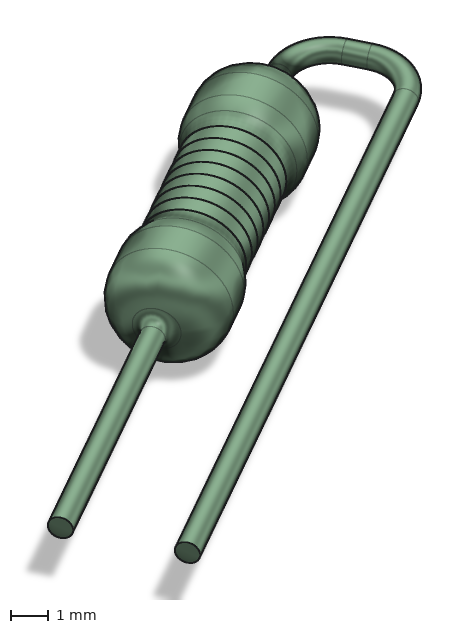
import cadquery as cq
import math


LEAD_DIAMETER = 0.7
LEAD_PITCH = 3.5
BEND_RADIUS = 1.4
OVERALL_LENGTH = 21.35
REAR_REACH = 7.74

CAP_DIAMETER = 3.5
BAND_DIAMETER = 3.0
GAP_DIAMETER = 2.98
BAND_WIDTH = 0.515
WAIST_SEGMENTS = 7
CAP_LENGTH = 0.97
DOME_RADIUS = 1.2
COLLAR_RADIUS = 0.36

LEAD_RADIUS = LEAD_DIAMETER / 2
CAP_RADIUS = CAP_DIAMETER / 2
BAND_RADIUS = BAND_DIAMETER / 2
GAP_RADIUS = GAP_DIAMETER / 2
SHOULDER_LENGTH = 2 * BAND_WIDTH
WAIST_HALF = WAIST_SEGMENTS * BAND_WIDTH / 2
SHOULDER_END = WAIST_HALF + SHOULDER_LENGTH
CAP_END = SHOULDER_END + CAP_LENGTH
DOME_CENTRE_RADIUS = CAP_RADIUS - DOME_RADIUS
COLLAR_CENTRE_RADIUS = LEAD_RADIUS + COLLAR_RADIUS
DOME_ANGLE = math.acos((COLLAR_CENTRE_RADIUS - DOME_CENTRE_RADIUS) / (DOME_RADIUS + COLLAR_RADIUS))
COLLAR_END = CAP_END + (DOME_RADIUS + COLLAR_RADIUS) * math.sin(DOME_ANGLE)
FOLD_AXIS_Y = REAR_REACH - LEAD_RADIUS
LEAD_TIP_Y = REAR_REACH - OVERALL_LENGTH
DIAGONAL = math.sqrt(0.5)


def body_end(side):
    """End of the body on one side: shoulder, cap, dome and lead collar; side is +1 (rear) or -1 (front)."""
    def at(radius, distance):
        return (radius, side * distance)

    rise = CAP_RADIUS - GAP_RADIUS
    arc_radius = (SHOULDER_LENGTH ** 2 + rise ** 2) / (4 * rise)
    half_angle = math.asin(SHOULDER_LENGTH / 2 / arc_radius) / 2
    arc_rise = arc_radius * (1 - math.cos(half_angle))
    arc_run = arc_radius * math.sin(half_angle)
    shoulder_middle = at((CAP_RADIUS + GAP_RADIUS) / 2, WAIST_HALF + SHOULDER_LENGTH / 2)

    def on_dome(angle):
        return at(DOME_CENTRE_RADIUS + DOME_RADIUS * math.cos(angle), CAP_END + DOME_RADIUS * math.sin(angle))

    collar_middle = at(
        COLLAR_CENTRE_RADIUS - COLLAR_RADIUS * math.cos(DOME_ANGLE / 2),
        COLLAR_END - COLLAR_RADIUS * math.sin(DOME_ANGLE / 2),
    )
    profile = (
        cq.Workplane("XY")
        .moveTo(*at(0, WAIST_HALF))
        .lineTo(*at(GAP_RADIUS, WAIST_HALF))
        .threePointArc(at(GAP_RADIUS + arc_rise, WAIST_HALF + arc_run), shoulder_middle)
        .threePointArc(at(CAP_RADIUS - arc_rise, SHOULDER_END - arc_run), at(CAP_RADIUS, SHOULDER_END))
        .lineTo(*at(CAP_RADIUS, CAP_END))
        .threePointArc(on_dome(DOME_ANGLE / 2), on_dome(DOME_ANGLE))
        .threePointArc(collar_middle, at(LEAD_RADIUS, COLLAR_END))
        .lineTo(*at(0, COLLAR_END))
        .close()
    )
    return profile.revolve(360, (0, 0, 0), (0, 1, 0))


def rod(radius, start_y, end_y):
    """Round bar on the Y axis between two Y positions."""
    return cq.Workplane("XZ", origin=(0, end_y, 0)).circle(radius).extrude(end_y - start_y)


def waist():
    """Middle of the body: alternating colour bands and gaps."""
    body = rod(GAP_RADIUS, -WAIST_HALF, WAIST_HALF)
    for index in range(0, WAIST_SEGMENTS, 2):
        start_y = -WAIST_HALF + index * BAND_WIDTH
        body = body.union(rod(BAND_RADIUS, start_y, start_y + BAND_WIDTH))
    return body


def folded_lead():
    """Rear lead: short stub, two quarter bends with a straight between, and the long return leg."""
    bend_start_y = FOLD_AXIS_Y - BEND_RADIUS
    bend_offset = BEND_RADIUS * (1 - DIAGONAL)
    path = (
        cq.Workplane("XY")
        .moveTo(0, COLLAR_END)
        .lineTo(0, bend_start_y)
        .threePointArc((bend_offset, FOLD_AXIS_Y - bend_offset), (BEND_RADIUS, FOLD_AXIS_Y))
        .lineTo(LEAD_PITCH - BEND_RADIUS, FOLD_AXIS_Y)
        .threePointArc((LEAD_PITCH - bend_offset, FOLD_AXIS_Y - bend_offset), (LEAD_PITCH, bend_start_y))
        .lineTo(LEAD_PITCH, LEAD_TIP_Y)
    )
    return cq.Workplane("XZ", origin=(0, COLLAR_END, 0)).circle(LEAD_RADIUS).sweep(path)


front_lead = rod(LEAD_RADIUS, LEAD_TIP_Y, -COLLAR_END)

body = waist().union(body_end(1)).union(body_end(-1))
resistor = body.union(front_lead).union(folded_lead())
result = cq.Workplane(resistor.solids().val())